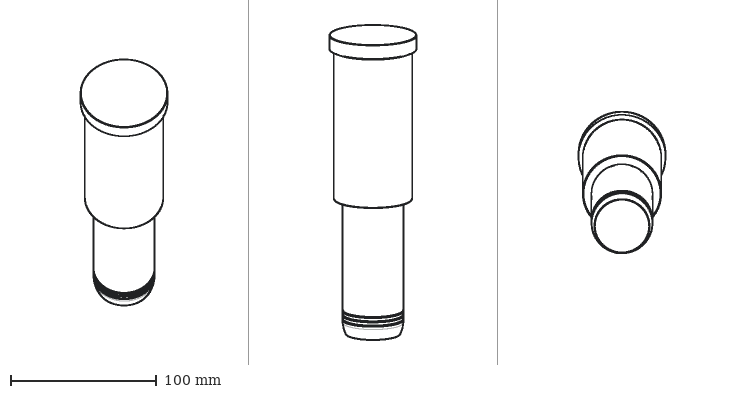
import cadquery as cq

total_length = 211.0
head_radius = 30.0
head_height = 10.0
head_edge_chamfer = 0.5
body_radius = 27.0
body_bottom = 95.0
body_edge_chamfer = 0.6
pin_diameter = 42.0
pin_radius = pin_diameter / 2
head_relief_width = 1.3
head_relief_depth = 0.6
pin_relief_width = 1.0
pin_relief_depth = 0.8

nose_height = 8.2
tip_radius = 19.0
tip_chamfer = 0.5
nose_bulge = 0.5

groove_count = 3
groove_width = 1.0
groove_depth = groove_width / 2
lowest_groove_edge = 10.0
lowest_groove = lowest_groove_edge + groove_width / 2
groove_span = 6.1
groove_pitch = groove_span / (groove_count - 1)

head_bottom = total_length - head_height


def cylinder(radius, bottom, top):
    return cq.Workplane("XY").workplane(offset=bottom).circle(radius).extrude(top - bottom)


def revolved(points):
    """Solid of revolution about Z from a closed outline of (radius, height) points."""
    return cq.Workplane("XZ").polyline(points).close().revolve(360, (0, 0), (0, 1))


def head_relief():
    """Undercut below the head, with a 45 degree run-out at its lower end."""
    bottom = head_bottom - head_relief_width
    inner_radius = body_radius - head_relief_depth
    return revolved([
        (body_radius, bottom),
        (inner_radius, bottom + head_relief_depth),
        (inner_radius, head_bottom),
        (body_radius, head_bottom),
    ])


def pin_relief():
    """Square undercut below the body."""
    bottom = body_bottom - pin_relief_width
    inner_radius = pin_radius - pin_relief_depth
    return cylinder(pin_radius, bottom, body_bottom).cut(cylinder(inner_radius, bottom, body_bottom))


def ring_groove(middle):
    return revolved([
        (pin_radius, middle - groove_width / 2),
        (pin_radius - groove_depth, middle),
        (pin_radius, middle + groove_width / 2),
    ])


def guide_pin():
    nose_middle = (
        (pin_radius + tip_radius) / 2 + nose_bulge,
        (nose_height + tip_chamfer) / 2,
    )
    return (
        cq.Workplane("XZ")
        .lineTo(tip_radius - tip_chamfer, 0)
        .lineTo(tip_radius, tip_chamfer)
        .threePointArc(nose_middle, (pin_radius, nose_height))
        .lineTo(pin_radius, body_bottom)
        .lineTo(0, body_bottom)
        .close()
        .revolve(360, (0, 0), (0, 1))
    )


head = cylinder(head_radius, head_bottom, total_length).faces(">Z").edges().chamfer(head_edge_chamfer)

body = cylinder(body_radius, body_bottom, head_bottom).faces("<Z").edges().chamfer(body_edge_chamfer)
body = body.cut(head_relief())

pin = guide_pin().cut(pin_relief())
for index in range(groove_count):
    pin = pin.cut(ring_groove(lowest_groove + index * groove_pitch))

result = head.union(body).union(pin)